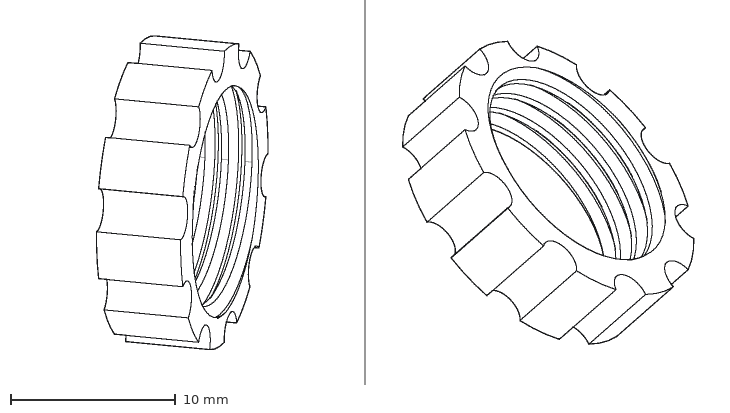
import cadquery as cq
import math

width = 5.35
outer_radius = 9.34
minor_radius = 13.56 / 2
major_radius = 15.02 / 2

flute_count = 10
flute_radius = 1.33
flute_center_radius = 9.28
flute_step = 360 / flute_count
first_flute_angle = 8.2

pitch = 1.5
root_width = 0.2
flank_angle = 30.0
run_out_turns = 1


def make_ring():
    """Plain ring with its bore at the thread's minor diameter."""
    return cq.Workplane("YZ").circle(outer_radius).circle(minor_radius).extrude(width)


def make_flutes():
    """Round cutters spaced evenly around the rim."""
    flutes = cq.Workplane("YZ")
    for index in range(flute_count):
        angle = math.radians(first_flute_angle + index * flute_step)
        y = -flute_center_radius * math.sin(angle)
        z = flute_center_radius * math.cos(angle)
        flutes = flutes.moveTo(y, z).circle(flute_radius)
    return flutes.extrude(width)


def make_thread_cutter():
    """Right-handed trapezoidal groove that runs out past both faces."""
    start_x = -run_out_turns * pitch
    turns = math.ceil(width / pitch) + 2 * run_out_turns
    half_root = root_width / 2
    half_mouth = half_root + (major_radius - minor_radius) * math.tan(math.radians(flank_angle))

    corners = [
        (minor_radius, -half_mouth),
        (major_radius, -half_root),
        (major_radius, half_root),
        (minor_radius, half_mouth),
    ]
    helices = [
        cq.Wire.makeHelix(pitch, turns * pitch, radius, center=cq.Vector(0, 0, offset))
        for radius, offset in corners
    ]
    sides = [cq.Face.makeRuledSurface(helices[i - 1], helices[i]) for i in range(len(helices))]
    ends = [
        cq.Face.makeFromWires(cq.Wire.makePolygon([helix.positionAt(end) for helix in helices], close=True))
        for end in (0, 1)
    ]
    groove = cq.Solid.makeSolid(cq.Shell.makeShell(sides + ends)).fix()
    cutter = cq.Workplane(obj=groove)
    cutter = cutter.rotate((0, 0, 0), (0, 1, 0), 90)
    cutter = cutter.rotate((0, 0, 0), (1, 0, 0), 180)
    return cutter.translate((start_x, 0, 0))


result = make_ring().cut(make_flutes()).cut(make_thread_cutter())